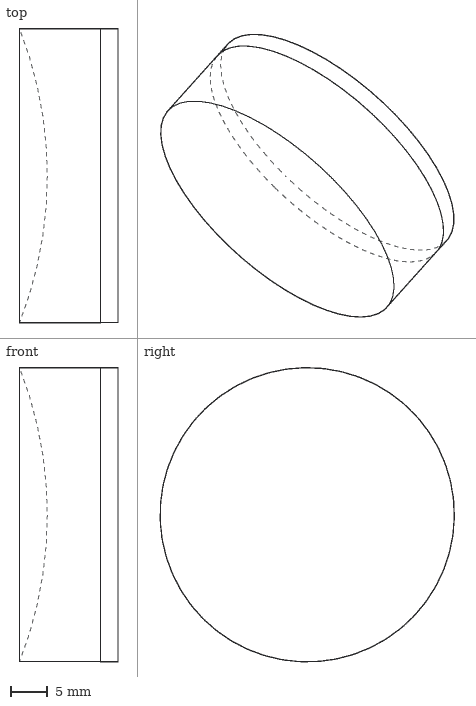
import cadquery as cq
import math

diameter = 40.0
total_edge_thickness = 13.384
rear_edge_thickness = 2.35
concave_depth = 3.78

radius = diameter / 2
front_edge_thickness = total_edge_thickness - rear_edge_thickness
joint_x = front_edge_thickness

concave_radius = (radius**2 + concave_depth**2) / (2 * concave_depth)
concave_centre_x = concave_depth - concave_radius


def make_front_element():
    """Thick disc with a spherical hollow in its -X face, revolved about X from a half section."""
    arc_middle_height = radius / 2
    arc_middle_x = concave_centre_x + math.sqrt(concave_radius**2 - arc_middle_height**2)
    return (
        cq.Workplane("XZ")
        .moveTo(concave_depth, 0)
        .threePointArc((arc_middle_x, arc_middle_height), (0, radius))
        .lineTo(joint_x, radius)
        .lineTo(joint_x, 0)
        .close()
        .revolve(360, (0, 0, 0), (1, 0, 0))
    )


def make_rear_element():
    """Thin plain disc cemented to the flat back of the front element."""
    return cq.Workplane("YZ", origin=(joint_x, 0, 0)).circle(radius).extrude(rear_edge_thickness)


front_element = make_front_element()
rear_element = make_rear_element()

result = cq.Compound.makeCompound([front_element.val(), rear_element.val()])